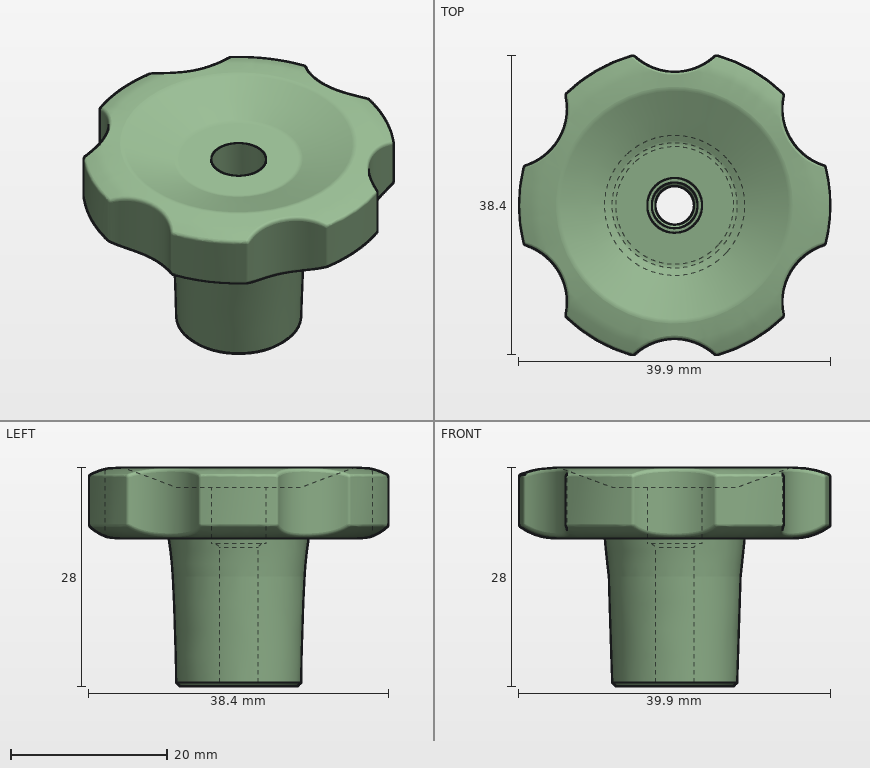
import cadquery as cq
import math

total_height = 28.0
grip_radius = 19.95
head_thickness = 9.1
head_bottom = total_height - head_thickness

flat_radius = 15.15
top_crown_drop = 0.95
bottom_crown_drop = 1.6
band_top = total_height - top_crown_drop
band_bottom = head_bottom + bottom_crown_drop

scallop_count = 6
scallop_radius = 7.58
scallop_valley_radius = 17.1
edge_fillet = 0.48

dish_rim_radius = 14.88
dish_floor_radius = 7.98
dish_depth = 2.55
dish_floor = total_height - dish_depth
dish_fillet = 1.4

hub_end_radius = 8.0
hub_break_radius = 8.45
hub_top_radius = 8.97
hub_break_height = 14.05
hub_chamfer = 0.48

bore_diameter = 4.9
counterbore_diameter = 7.0
counterbore_depth = 7.18
bore_chamfer = 0.48


def crown_middle(edge_height, flat_height):
    """Point halfway along a crown arc that meets the flat face tangentially."""
    span = grip_radius - flat_radius
    drop = flat_height - edge_height
    half_angle = math.atan2(abs(drop), span)
    arc_radius = span / math.sin(2 * half_angle)
    middle_drop = arc_radius * (1 - math.cos(half_angle))
    return (
        flat_radius + arc_radius * math.sin(half_angle),
        flat_height - math.copysign(middle_drop, drop),
    )


def is_rim_edge(edge):
    """True for edges that stay outside the flat faces and their crown seams."""
    ends = (edge.startPoint(), edge.endPoint())
    return all(math.hypot(end.x, end.y) > flat_radius + edge_fillet for end in ends)


def make_head():
    head = (
        cq.Workplane("XZ")
        .moveTo(0, head_bottom)
        .lineTo(flat_radius, head_bottom)
        .threePointArc(crown_middle(band_bottom, head_bottom), (grip_radius, band_bottom))
        .lineTo(grip_radius, band_top)
        .threePointArc(crown_middle(band_top, total_height), (flat_radius, total_height))
        .lineTo(0, total_height)
        .close()
        .revolve(360, (0, 0, 0), (0, 1, 0))
    )
    scallops = (
        cq.Workplane("XY")
        .workplane(offset=head_bottom)
        .polarArray(scallop_valley_radius + scallop_radius, 90, 360, scallop_count)
        .circle(scallop_radius)
        .extrude(head_thickness)
    )
    head = head.cut(scallops)
    return head.edges().filter(is_rim_edge).fillet(edge_fillet)


def make_dish():
    """Cone with a rounded floor and a rounded, flared rim, to be cut from the top face."""
    slope = math.atan2(dish_depth, dish_rim_radius - dish_floor_radius)
    setback = dish_fillet * math.tan(slope / 2)
    reach = setback * math.cos(slope)
    rise = setback * math.sin(slope)
    return (
        cq.Workplane("XZ")
        .moveTo(0, dish_floor)
        .lineTo(dish_floor_radius - setback, dish_floor)
        .radiusArc((dish_floor_radius + reach, dish_floor + rise), -dish_fillet)
        .lineTo(dish_rim_radius - reach, total_height - rise)
        .radiusArc((dish_rim_radius + setback, total_height), dish_fillet)
        .lineTo(0, total_height)
        .close()
        .revolve(360, (0, 0, 0), (0, 1, 0))
    )


def make_hub():
    """Tapered hub that flares into the head, with a chamfered free end."""
    return (
        cq.Workplane("XZ")
        .lineTo(hub_end_radius - hub_chamfer, 0)
        .lineTo(hub_end_radius, hub_chamfer)
        .lineTo(hub_break_radius, hub_break_height)
        .lineTo(hub_top_radius, head_bottom)
        .lineTo(0, head_bottom)
        .close()
        .revolve(360, (0, 0, 0), (0, 1, 0))
    )


def make_bore():
    """Through bore, chamfered at its upper end, opening into a deep counterbore."""
    bore_radius = bore_diameter / 2
    counterbore_radius = counterbore_diameter / 2
    step_height = dish_floor - counterbore_depth
    return (
        cq.Workplane("XZ")
        .lineTo(bore_radius, 0)
        .lineTo(bore_radius, step_height - bore_chamfer)
        .lineTo(bore_radius + bore_chamfer, step_height)
        .lineTo(counterbore_radius, step_height)
        .lineTo(counterbore_radius, dish_floor)
        .lineTo(0, dish_floor)
        .close()
        .revolve(360, (0, 0, 0), (0, 1, 0))
    )


result = make_head().union(make_hub()).cut(make_dish()).cut(make_bore())